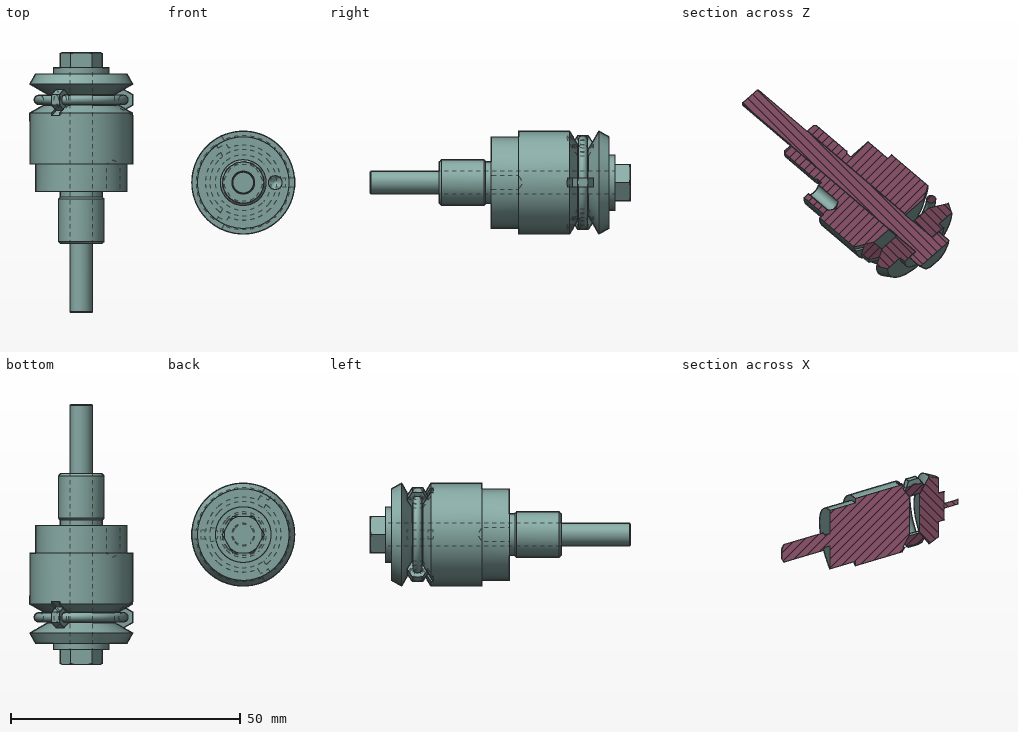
import cadquery as cq
import math


body_radius = 11.25
cone_slope = math.tan(math.radians(30))

jaw_count = 3
jaw_across_flats = 4.0
jaw_thickness = 2.0
ring_tube_radius = 1.0
ring_y = 14.05
jaw_center_radius = body_radius - jaw_across_flats / 2
jaw_inner_radius = body_radius - jaw_across_flats
jaw_side = jaw_across_flats / math.sqrt(3)

housing_rim_y = 11.15
spigot_radius = 10.0
spigot_length = 6.0
undercut_radius = 4.6
undercut_length = 1.2
shank_radius = 5.0
shank_end_y = -17.4
shank_chamfer = 0.5
pin_hole_diameter = 3.0
pin_hole_x = 7.0
pin_hole_depth = 6.0
drill_point_angle = 118

disc_face_y = ring_y + jaw_side / 2
disc_rim_y = disc_face_y + cone_slope * (body_radius - jaw_inner_radius)
disc_back_y = 19.7
disc_back_radius = 10.0
collar_radius = 6.1
collar_top_y = 21.1

housing_face_y = ring_y - jaw_side / 2
housing_face_radius = body_radius - (housing_face_y - housing_rim_y) / cone_slope

bolt_radius = 2.5
bolt_tip_y = -32.45
bolt_tip_chamfer = 0.2
overall_length = 56.8
head_top_y = bolt_tip_y + overall_length
head_sides = 6
head_across_flats = 7.95
head_corner_radius = head_across_flats / math.sqrt(3)
head_chamfer = 0.45


def revolve_about_y(points):
    """Turn a closed (radius, y) outline about the Y axis."""
    return cq.Workplane("XY").polyline(points).close().revolve(360, (0, 0, 0), (0, 1, 0))


def place_at_jaws(shape):
    """Copies of a shape built on +X, turned to each jaw position."""
    step = 360 / jaw_count
    return [shape.rotate((0, 0, 0), (0, 1, 0), index * step) for index in range(jaw_count)]


def make_jaw():
    """Regular hexagonal prism on +X with one flat facing outward."""
    half_flats = jaw_across_flats / 2
    outline = [
        (half_flats, jaw_side / 2),
        (0, jaw_side),
        (-half_flats, jaw_side / 2),
        (-half_flats, -jaw_side / 2),
        (0, -jaw_side),
        (half_flats, -jaw_side / 2),
    ]
    return (
        cq.Workplane("XY", origin=(jaw_center_radius, ring_y, 0))
        .polyline(outline).close()
        .extrude(jaw_thickness / 2, both=True)
    )


def make_jaw_ring():
    """Round-wire ring carrying the hexagonal jaws."""
    ring = (
        cq.Workplane("XY")
        .center(jaw_center_radius, ring_y)
        .circle(ring_tube_radius)
        .revolve(360, (-jaw_center_radius, 0, 0), (-jaw_center_radius, 1, 0))
    )
    for jaw in place_at_jaws(make_jaw()):
        ring = ring.union(jaw)
    return ring


def make_jaw_slot():
    """Cutter for the guide slot on +X; its sloping floor carries the lower flank of a jaw."""
    overrun = 0.55
    outer_radius = body_radius + overrun
    floor_drop = cone_slope * (outer_radius - jaw_inner_radius)
    outline = [
        (jaw_inner_radius, housing_face_y),
        (outer_radius, housing_face_y - floor_drop),
        (outer_radius, housing_face_y + overrun),
        (jaw_inner_radius, housing_face_y + overrun),
    ]
    return cq.Workplane("XY").polyline(outline).close().extrude(jaw_thickness / 2, both=True)


def make_pin_hole():
    """Blind drilled hole with a conical bottom, entering the spigot face."""
    radius = pin_hole_diameter / 2
    point_length = radius / math.tan(math.radians(drill_point_angle / 2))
    outline = [
        (0, -spigot_length),
        (radius, -spigot_length),
        (radius, -spigot_length + pin_hole_depth),
        (0, -spigot_length + pin_hole_depth + point_length),
    ]
    return revolve_about_y(outline).translate((pin_hole_x, 0, 0))


def make_housing():
    """Coned body with spigot, undercut and shank, bored through for the bolt."""
    undercut_end_y = -spigot_length - undercut_length
    undercut_step = shank_radius - undercut_radius
    housing = revolve_about_y([
        (bolt_radius, housing_face_y),
        (housing_face_radius, housing_face_y),
        (body_radius, housing_rim_y),
        (body_radius, 0),
        (spigot_radius, 0),
        (spigot_radius, -spigot_length),
        (undercut_radius, -spigot_length),
        (undercut_radius, undercut_end_y),
        (shank_radius, undercut_end_y - undercut_step),
        (shank_radius, shank_end_y + shank_chamfer),
        (shank_radius - shank_chamfer, shank_end_y),
        (bolt_radius, shank_end_y),
    ])
    for slot in place_at_jaws(make_jaw_slot()):
        housing = housing.cut(slot)
    return housing.cut(make_pin_hole())


def make_cone_disc():
    """Double-coned disc with a collar under the bolt head."""
    return revolve_about_y([
        (bolt_radius, disc_face_y),
        (jaw_inner_radius, disc_face_y),
        (body_radius, disc_rim_y),
        (disc_back_radius, disc_back_y),
        (collar_radius, disc_back_y),
        (collar_radius, collar_top_y),
        (bolt_radius, collar_top_y),
    ])


def make_bolt():
    """Hexagon-head bolt that passes through the disc and the housing."""
    chamfer_drop = head_chamfer * cone_slope
    head_blank = revolve_about_y([
        (0, collar_top_y),
        (head_corner_radius, collar_top_y),
        (head_corner_radius, head_top_y - chamfer_drop),
        (head_corner_radius - head_chamfer, head_top_y),
        (0, head_top_y),
    ])
    hexagon = (
        cq.Workplane("XZ", origin=(0, collar_top_y, 0))
        .polygon(head_sides, 2 * head_corner_radius)
        .extrude(-(head_top_y - collar_top_y))
    )
    stem = revolve_about_y([
        (0, collar_top_y),
        (bolt_radius, collar_top_y),
        (bolt_radius, bolt_tip_y + bolt_tip_chamfer),
        (bolt_radius - bolt_tip_chamfer, bolt_tip_y),
        (0, bolt_tip_y),
    ])
    return hexagon.intersect(head_blank).union(stem)


housing = make_housing()
cone_disc = make_cone_disc()
jaw_ring = make_jaw_ring()
bolt = make_bolt()

result = cq.Compound.makeCompound([
    body.solids().val() for body in (housing, cone_disc, jaw_ring, bolt)
])